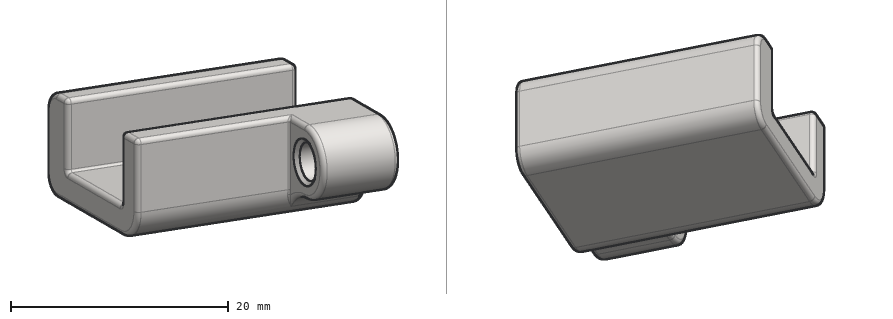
import cadquery as cq
import math

total_width = 24.55
length = 23.85
height = 10.0
body_width = 18.0
left_wall = 4.0
right_wall = 3.0
floor_thickness = 3.0
left_corner_radius = 2.0
right_corner_radius = 3.0
channel_corner_radius = 0.25
edge_radius = 0.5

lug_length = 8.0
lug_radius = 3.55
lug_center_x = total_width - lug_radius
lug_center_z = height - lug_radius
lug_bottom_z = lug_center_z - lug_radius
lug_front_y = length - lug_length
lug_root_radius = 0.2
hole_diameter = 3.6
hole_chamfer = 0.42

corner_x = body_width - right_corner_radius
corner_z = right_corner_radius


def make_body():
    """U-shaped channel with rounded ends and rounded wall tops."""
    block = cq.Workplane("XY").box(body_width, length, height, centered=False)
    block = block.edges("|Y and <X").fillet(left_corner_radius)
    block = block.edges("|Y and >X and <Z").fillet(right_corner_radius)

    channel_width = body_width - left_wall - right_wall
    channel = cq.Workplane("XY").box(channel_width, length, height, centered=False)
    channel = channel.edges("|Y and <Z").fillet(channel_corner_radius)
    body = block.cut(channel.translate((left_wall, 0, floor_thickness)))

    wall_top_box = cq.selectors.BoxSelector(
        (left_corner_radius + edge_radius, 0, height - edge_radius),
        (body_width + edge_radius, length, height + edge_radius),
    )
    wall_top_edges = body.edges("|Y").edges(wall_top_box)
    end_edges = body.faces("<Y or >Y").edges()
    return end_edges.add(wall_top_edges).fillet(edge_radius)


def lug_outline():
    """Lug profile whose concave underside runs tangentially into the lower right body corner."""
    run = lug_center_x - corner_x
    rise = corner_z - lug_bottom_z

    sweep_radius = (run**2 + rise**2 - right_corner_radius**2) / (2 * (right_corner_radius - rise))
    sweep_z = lug_bottom_z - sweep_radius

    def sweep_point(angle):
        return (lug_center_x + sweep_radius * math.cos(angle), sweep_z + sweep_radius * math.sin(angle))

    top_angle = math.pi / 2
    joint_angle = math.atan2(corner_z - sweep_z, -run)
    joint = sweep_point(joint_angle)
    buried_x = body_width - right_wall / 2
    return (
        cq.Workplane("XZ", origin=(0, lug_front_y, 0))
        .moveTo(buried_x, height)
        .lineTo(lug_center_x, height)
        .threePointArc((total_width, lug_center_z), (lug_center_x, lug_bottom_z))
        .threePointArc(sweep_point((top_angle + joint_angle) / 2), joint)
        .lineTo(buried_x, joint[1])
        .close()
    )


def make_lug():
    """Rounded lug with a through hole chamfered at both ends."""
    lug = lug_outline().extrude(-lug_length)
    lug = lug.faces("<Y or >Y").edges().fillet(edge_radius)
    pin = (
        cq.Workplane("XZ", origin=(lug_center_x, lug_front_y, lug_center_z))
        .circle(hole_diameter / 2)
        .extrude(-lug_length)
    )
    lug = lug.cut(pin)
    hole_rims = lug.faces("<Y or >Y").edges("%CIRCLE").edges(cq.selectors.RadiusNthSelector(0))
    return hole_rims.chamfer(hole_chamfer)


def round_lug_root(part):
    """Small fillet in the inside corner between the right wall and the lug front."""
    straight_top = height - edge_radius
    root_middle = (body_width, lug_front_y, (corner_z + straight_top) / 2)
    root_edge = part.edges("|Z").edges(cq.selectors.NearestToPointSelector(root_middle))
    return root_edge.fillet(lug_root_radius)


result = round_lug_root(make_body().union(make_lug()))